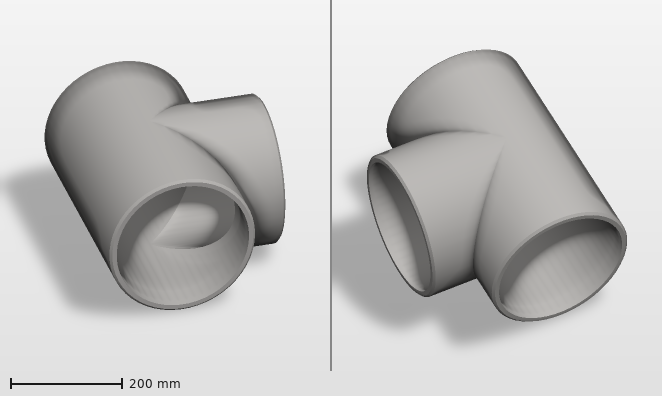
import cadquery as cq

run_length = 432.0
outer_diameter = 273.0
wall = 12.5
end_chamfer = 4.5

half_run = run_length / 2
branch_length = half_run
outer_radius = outer_diameter / 2
bore_radius = outer_radius - wall


def run_cylinder(radius):
    """Cylinder along X, centred on the tee."""
    return cq.Workplane("YZ").circle(radius).extrude(half_run, both=True)


def branch_cylinder(radius):
    """Cylinder from the tee centre to the +Y branch face."""
    return cq.Workplane("ZX").circle(radius).extrude(branch_length)


run = run_cylinder(outer_radius).faces("<X or >X").chamfer(end_chamfer)
branch = branch_cylinder(outer_radius).faces(">Y").chamfer(end_chamfer)
body = run.union(branch)

result = body.cut(run_cylinder(bore_radius)).cut(branch_cylinder(bore_radius))